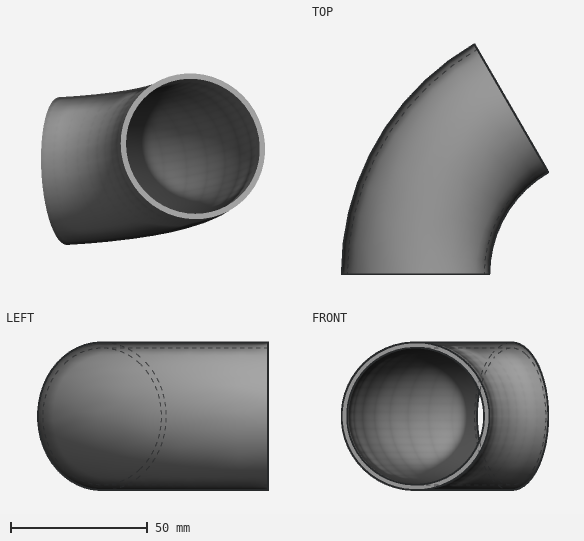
import cadquery as cq

outer_diameter = 54.0
wall_thickness = 2.0
bend_radius = 70.0
bend_angle = 60.0

inner_diameter = outer_diameter - 2 * wall_thickness


def elbow():
    """Ring section in the XZ plane, swept about a vertical axis toward +Y and +X."""
    section = cq.Workplane("XZ").circle(outer_diameter / 2).circle(inner_diameter / 2)
    axis_start = (bend_radius, 0)
    axis_end = (bend_radius, -1)
    return section.revolve(bend_angle, axis_start, axis_end)


result = elbow()